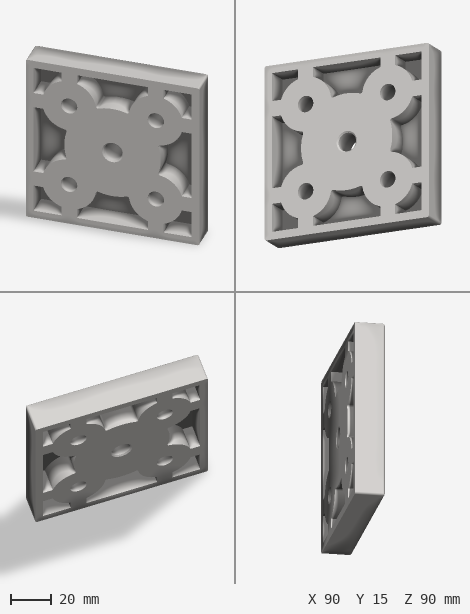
import cadquery as cq

side = 90.0
thickness = 15.0
edge_radius = 1.0

wall = 4.05
back_skin = 3.1
pocket_depth = thickness - back_skin
tip_radius = 1.0

hub_radius = 25.0
boss_radius = 14.0
boss_offset = side / 4
rib_width = 8.1

boss_hole_diameter = 8.5
center_hole_diameter = 9.5
center_chamfer = 0.7

boss_centers = [(x, z) for x in (-boss_offset, boss_offset) for z in (-boss_offset, boss_offset)]
front_y = -thickness / 2
pocket_y = front_y + pocket_depth / 2


def front_plane():
    """Sketch plane on the front face, with its normal pointing into the block."""
    return cq.Workplane(cq.Plane(origin=(0, front_y, 0), xDir=(1, 0, 0), normal=(0, 1, 0)))


def make_block():
    """Square block with rounded corners and a rounded back rim."""
    block = cq.Workplane("XY").box(side, thickness, side)
    return block.edges("|Y").fillet(edge_radius).faces(">Y").edges().fillet(edge_radius)


def make_core():
    """Central hub overlapping the four corner bosses."""
    hub = front_plane().circle(hub_radius).extrude(pocket_depth)
    bosses = front_plane().pushPoints(boss_centers).circle(boss_radius).extrude(pocket_depth)
    return hub.union(bosses)


def make_ribs():
    """Two ribs per boss, running from its center straight out to the nearest walls."""
    length = side / 2 - boss_offset
    middle = boss_offset + length / 2
    ribs = cq.Workplane("XY")
    for x_sign in (-1, 1):
        for z_sign in (-1, 1):
            across = cq.Workplane("XY").box(length, pocket_depth, rib_width)
            upright = cq.Workplane("XY").box(rib_width, pocket_depth, length)
            ribs = ribs.add(across.translate((x_sign * middle, pocket_y, z_sign * boss_offset)))
            ribs = ribs.add(upright.translate((x_sign * boss_offset, pocket_y, z_sign * middle)))
    return ribs.combine()


def make_pockets():
    """Eight pockets around the core and ribs, with their sharp tips at the hub rounded."""
    opening = side - 2 * wall
    pockets = front_plane().rect(opening, opening).extrude(pocket_depth)
    pockets = pockets.cut(make_core()).cut(make_ribs())
    reach = boss_offset + rib_width / 2
    near_hub = cq.selectors.BoxSelector((-reach, front_y, -reach), (reach, -front_y, reach))
    return pockets.edges("|Y").edges(near_hub).fillet(tip_radius)


def make_holes():
    """Four plain boss holes and a center hole chamfered at the front."""
    boss_holes = front_plane().pushPoints(boss_centers).circle(boss_hole_diameter / 2).extrude(thickness)
    center_hole = front_plane().circle(center_hole_diameter / 2).extrude(thickness)
    mouth_radius = center_hole_diameter / 2 + center_chamfer
    mouth = cq.Solid.makeCone(
        mouth_radius,
        center_hole_diameter / 2,
        center_chamfer,
        pnt=cq.Vector(0, front_y, 0),
        dir=cq.Vector(0, 1, 0),
    )
    return boss_holes.union(center_hole).union(cq.Workplane(mouth))


result = make_block().cut(make_pockets()).cut(make_holes())